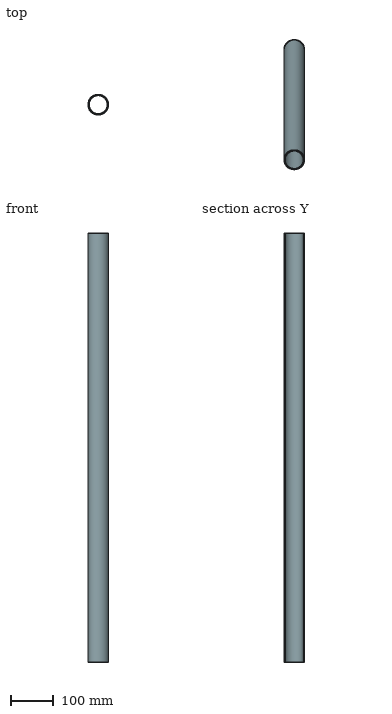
import cadquery as cq

OUTER_DIAMETER = 48.3
WALL_THICKNESS = 3.2
LENGTH = 1000.0
END_CHAMFER = 1.0


def make_tube():
    """Plain tube with square ends."""
    outer_radius = OUTER_DIAMETER / 2
    inner_radius = outer_radius - WALL_THICKNESS
    return cq.Workplane("XY").circle(outer_radius).circle(inner_radius).extrude(LENGTH)


def chamfer_ends(tube):
    """Break the outer and inner rims of the top and bottom ends."""
    return tube.faces("<Z or >Z").edges().chamfer(END_CHAMFER)


result = chamfer_ends(make_tube())